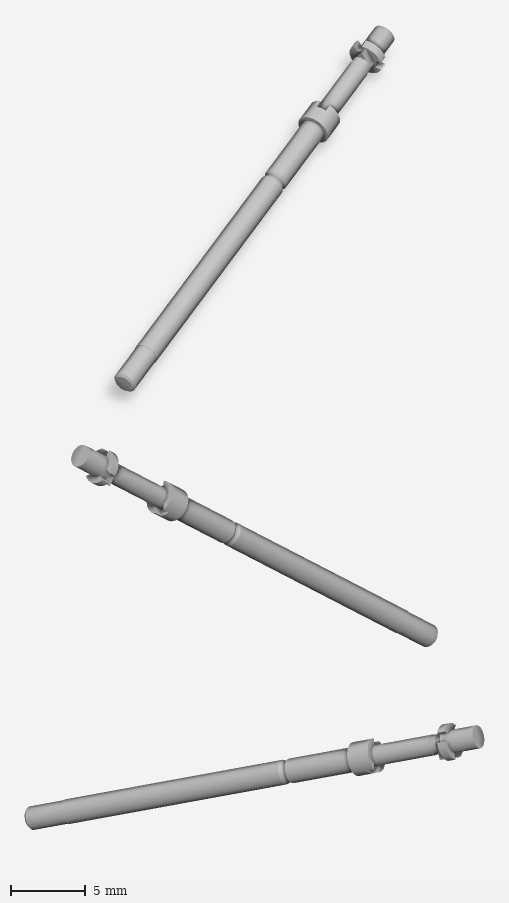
import cadquery as cq

LENGTH = 35.0
HEAD_END = LENGTH / 2
TAIL_END = -LENGTH / 2

HEAD_DIAMETER = 1.58
NECK_DIAMETER = 1.33
STEM_DIAMETER = 1.4
COLLAR_DIAMETER = 2.3
BODY_DIAMETER = 1.68
TAIL_DIAMETER = 1.6

HEAD_LENGTH = 1.92
FLANGE_LENGTH = 0.6
KEY_LENGTH = 0.5
NECK_LENGTH = 0.42
STEM_LENGTH = 4.5
COLLAR_LENGTH = 1.6
TAIL_LENGTH = 2.98
TAIL_CHAMFER = 0.158

FLANGE_DIAMETER = 2.5
NOTCH_COUNT = 3
NOTCH_WIDTH = 0.7
NOTCH_FLOOR_RADIUS = 0.77
KEY_WIDTH = NECK_DIAMETER
KEY_HEIGHT = COLLAR_DIAMETER

SLOT_WIDTH = 0.7
SLOT_LENGTH = 0.52

GROOVE_HEAD_EDGE = 2.9
GROOVE_BOTTOM_RADIUS = 0.7
GROOVE_STEEP_RUN = 0.2
GROOVE_GENTLE_RUN = 0.3

FLANGE_START = HEAD_END - HEAD_LENGTH
KEY_START = FLANGE_START - FLANGE_LENGTH
NECK_START = KEY_START - KEY_LENGTH
STEM_START = NECK_START - NECK_LENGTH
COLLAR_START = STEM_START - STEM_LENGTH
BODY_START = COLLAR_START - COLLAR_LENGTH
TAIL_START = TAIL_END + TAIL_LENGTH


def section_plane(y):
    """Work plane across the pin at y, extruding towards the tail (local x = X, local y = Z)."""
    return cq.Workplane("XZ", origin=(0, y, 0))


def cylinder(diameter, start, length):
    return section_plane(start).circle(diameter / 2).extrude(length)


def make_flange():
    """Round flange with flat-floored notches, the first one facing +X."""
    flange = cylinder(FLANGE_DIAMETER, FLANGE_START, FLANGE_LENGTH)
    notch_depth = FLANGE_DIAMETER / 2 - NOTCH_FLOOR_RADIUS
    notch = (
        section_plane(FLANGE_START)
        .center(NOTCH_FLOOR_RADIUS + notch_depth / 2, 0)
        .rect(notch_depth, NOTCH_WIDTH)
        .extrude(FLANGE_LENGTH)
    )
    for index in range(NOTCH_COUNT):
        angle = index * 360 / NOTCH_COUNT
        flange = flange.cut(notch.rotate((0, 0, 0), (0, 1, 0), angle))
    return flange


def make_key():
    """Diamond with its long diagonal along Z."""
    corners = [
        (KEY_WIDTH / 2, 0),
        (0, KEY_HEIGHT / 2),
        (-KEY_WIDTH / 2, 0),
        (0, -KEY_HEIGHT / 2),
    ]
    return section_plane(KEY_START).polyline(corners).close().extrude(KEY_LENGTH)


def make_collar():
    """Collar slotted straight through along Z; the stem inside fills the middle of the slot."""
    collar = cylinder(COLLAR_DIAMETER, COLLAR_START, COLLAR_LENGTH)
    slot = section_plane(COLLAR_START).rect(SLOT_WIDTH, COLLAR_DIAMETER).extrude(SLOT_LENGTH)
    return collar.cut(slot)


def make_body():
    """Body and tail revolved in one profile, with the snap groove and the end chamfer."""
    body_radius = BODY_DIAMETER / 2
    tail_radius = TAIL_DIAMETER / 2
    groove_bottom = GROOVE_HEAD_EDGE - GROOVE_STEEP_RUN
    groove_tail_edge = groove_bottom - GROOVE_GENTLE_RUN
    profile = [
        (0, BODY_START),
        (body_radius, BODY_START),
        (body_radius, GROOVE_HEAD_EDGE),
        (GROOVE_BOTTOM_RADIUS, groove_bottom),
        (body_radius, groove_tail_edge),
        (body_radius, TAIL_START),
        (tail_radius, TAIL_START),
        (tail_radius, TAIL_END + TAIL_CHAMFER),
        (tail_radius - TAIL_CHAMFER, TAIL_END),
        (0, TAIL_END),
    ]
    return cq.Workplane("XY").polyline(profile).close().revolve(360, (0, 0, 0), (0, 1, 0))


head = cylinder(HEAD_DIAMETER, HEAD_END, HEAD_LENGTH)
neck = cylinder(NECK_DIAMETER, NECK_START, NECK_LENGTH)
stem = cylinder(STEM_DIAMETER, STEM_START, STEM_LENGTH + COLLAR_LENGTH)

result = (
    head.union(make_flange())
    .union(make_key())
    .union(neck)
    .union(stem)
    .union(make_collar())
    .union(make_body())
)